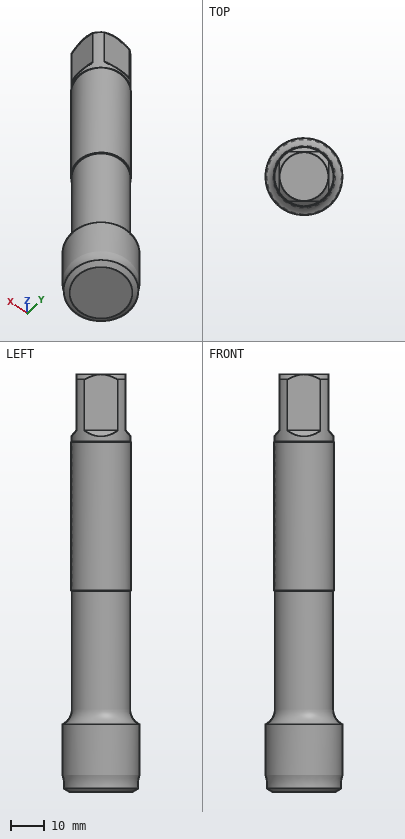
import cadquery as cq
import math

total_height = 125.0
bottom_chamfer_top = 1.1
foot_top = 5.1
collar_top = 20.2
shoulder_top = 24.8
sleeve_bottom = 60.1
sleeve_top = 104.9
ramp_bottom = 106.4
ramp_top = 108.1

collar_diameter = 23.1
foot_diameter = 22.4
foot_waist_diameter = 22.2
bottom_diameter = 18.8
shaft_diameter = 17.5
drive_diameter = 17.8
tip_diameter = 14.5

square_width = 14.8

sleeve_diameter = 18.0
sleeve_bevel = 0.2

collar_radius = collar_diameter / 2
foot_radius = foot_diameter / 2
shaft_radius = shaft_diameter / 2
drive_radius = drive_diameter / 2
tip_radius = tip_diameter / 2


def shoulder_arc_middle():
    """Point halfway up the concave shoulder, whose arc runs out tangent to the shaft."""
    radial_step = collar_radius - shaft_radius
    axial_step = shoulder_top - collar_top
    arc_radius = (radial_step**2 + axial_step**2) / (2 * radial_step)
    half_step = axial_step / 2
    offset = arc_radius - math.sqrt(arc_radius**2 - half_step**2)
    return (shaft_radius + offset, collar_top + half_step)


def turned_blank():
    """Revolved core: waisted foot, collar, concave shoulder and chamfered shaft."""
    foot_middle = (foot_waist_diameter / 2, (bottom_chamfer_top + foot_top) / 2)
    tip_chamfer = drive_radius - tip_radius
    return (
        cq.Workplane("XZ")
        .moveTo(0, 0)
        .lineTo(bottom_diameter / 2, 0)
        .lineTo(foot_radius, bottom_chamfer_top)
        .threePointArc(foot_middle, (collar_radius, foot_top))
        .lineTo(collar_radius, collar_top)
        .threePointArc(shoulder_arc_middle(), (shaft_radius, shoulder_top))
        .lineTo(shaft_radius, sleeve_top)
        .lineTo(drive_radius, sleeve_top)
        .lineTo(drive_radius, total_height - tip_chamfer)
        .lineTo(tip_radius, total_height)
        .lineTo(0, total_height)
        .close()
        .revolve(360, (0, 0, 0), (0, 1, 0))
    )


def drive_flat_cutter():
    """Waste beside one drive flat, with a sloping ramp at its foot."""
    flat_offset = square_width / 2
    ramp_slope = (ramp_top - ramp_bottom) / (drive_radius - flat_offset)
    outer_offset = sleeve_diameter / 2
    outer_height = ramp_top - ramp_slope * (outer_offset - flat_offset)
    return (
        cq.Workplane("XZ")
        .moveTo(flat_offset, ramp_top)
        .lineTo(outer_offset, outer_height)
        .lineTo(outer_offset, total_height)
        .lineTo(flat_offset, total_height)
        .close()
        .extrude(drive_radius, both=True)
    )


def make_sleeve():
    """Thin tube around the shaft, bevelled at both ends from its outer face to its bore."""
    outer_radius = sleeve_diameter / 2
    return (
        cq.Workplane("XZ")
        .moveTo(shaft_radius, sleeve_bottom)
        .lineTo(outer_radius, sleeve_bottom + sleeve_bevel)
        .lineTo(outer_radius, sleeve_top - sleeve_bevel)
        .lineTo(shaft_radius, sleeve_top)
        .close()
        .revolve(360, (0, 0, 0), (0, 1, 0))
    )


def make_core():
    """Drive bar with a four-sided end, slimmer below the drive to seat the sleeve."""
    bar = turned_blank()
    for side in range(4):
        bar = bar.cut(drive_flat_cutter().rotate((0, 0, 0), (0, 0, 1), side * 90))
    return bar


core = make_core()
sleeve = make_sleeve()

result = cq.Compound.makeCompound([core.val(), sleeve.val()])